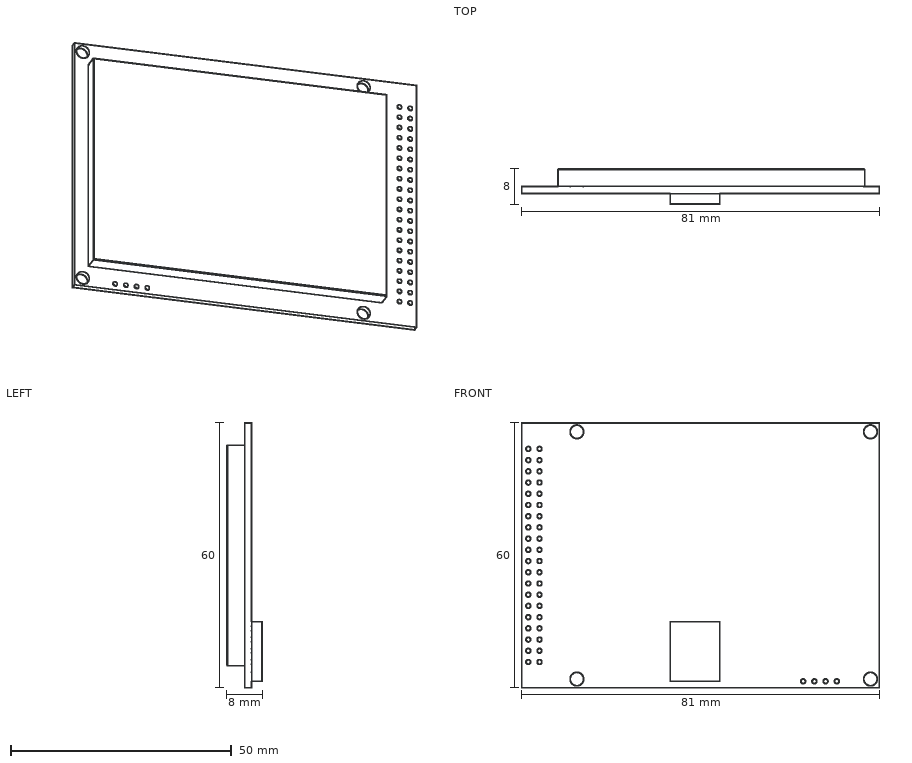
import cadquery as cq

board_width = 81.0
board_height = 60.0
board_thickness = 1.6

display_width = 69.5
display_height = 50.0
display_thickness = 4.0
display_left = 8.2
display_edge_chamfer = 0.2

socket_width = 11.3
socket_height = 13.5
socket_thickness = 2.4
socket_left = 33.6
socket_bottom = 1.5

mount_diameter = 3.0
mount_edge_distance = 2.0
mount_left = 12.5

pin_diameter = 1.0
pin_pitch = 2.54
pin_edge_distance = 1.5
header_columns = 2
header_rows = 20
side_pin_count = 4
side_pin_left = 63.75


def block(left, front, bottom, width, thickness, height):
    """Box placed by its left, front, bottom corner."""
    return cq.Workplane("XY").box(width, thickness, height, centered=False).translate((left, front, bottom))


def through_holes(centres, diameter):
    """Cylinders along Y that pass through the board at the given (x, z) centres."""
    return (
        cq.Workplane("XZ")
        .pushPoints(centres)
        .circle(diameter / 2)
        .extrude(-board_thickness)
    )


def make_display():
    bottom = (board_height - display_height) / 2
    body = block(display_left, board_thickness, bottom, display_width, display_thickness, display_height)
    return body.faces(">Y").edges().chamfer(display_edge_chamfer)


def mount_centres():
    columns = (mount_left, board_width - mount_edge_distance)
    rows = (mount_edge_distance, board_height - mount_edge_distance)
    return [(x, z) for x in columns for z in rows]


def header_centres():
    """Two columns of pins at the left edge, centred along the board height."""
    bottom = (board_height - (header_rows - 1) * pin_pitch) / 2
    return [
        (pin_edge_distance + column * pin_pitch, bottom + row * pin_pitch)
        for column in range(header_columns)
        for row in range(header_rows)
    ]


def side_pin_centres():
    """Single row of pins along the bottom edge."""
    return [(side_pin_left + i * pin_pitch, pin_edge_distance) for i in range(side_pin_count)]


board = block(0, 0, 0, board_width, board_thickness, board_height)
board = board.cut(through_holes(mount_centres(), mount_diameter))
board = board.cut(through_holes(header_centres() + side_pin_centres(), pin_diameter))

socket = block(
    socket_left, -socket_thickness, socket_bottom, socket_width, socket_thickness, socket_height
)

result = board.union(make_display()).union(socket)